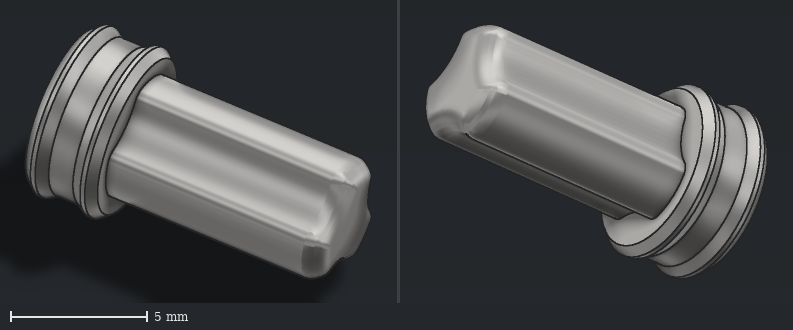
import cadquery as cq
import math

total_length = 12.0
rim_radius = 3.402
head_length = 3.0

end_face_radius = 3.1
neck_radius = 3.15
rim_start = 0.37
rim_end = 0.56
neck_start = 1.0

lobe_count = 3
shank_radius = 2.46
groove_bottom_radius = 1.78
groove_radius = 2.18
lobe_corner_radius = 0.5

taper_length = 0.62
taper_depth = 0.47
tip_round = 0.67

pick_margin = 0.06


def make_head():
    half_profile = [
        (0, end_face_radius),
        (rim_start, rim_radius),
        (rim_end, rim_radius),
        (neck_start, neck_radius),
    ]
    mirrored = [(head_length - x, r) for x, r in reversed(half_profile)]
    profile = [(0, 0)] + half_profile + mirrored + [(head_length, 0)]
    return cq.Workplane("XY").polyline(profile).close().revolve(360, (0, 0, 0), (1, 0, 0))


def round_lobe_corners(shank, groove_angles, groove_center):
    corner_cosine = (shank_radius**2 + groove_center**2 - groove_radius**2) / (
        2 * shank_radius * groove_center
    )
    corner_angle = math.degrees(math.acos(corner_cosine))
    corners = []
    for groove_angle in groove_angles:
        for side in (-1, 1):
            angle = math.radians(groove_angle + side * corner_angle)
            y = shank_radius * math.cos(angle)
            z = shank_radius * math.sin(angle)
            box = cq.selectors.BoxSelector(
                (head_length, y - pick_margin, z - pick_margin),
                (total_length, y + pick_margin, z + pick_margin),
            )
            corners += shank.edges(box).vals()
    return shank.newObject(corners).fillet(lobe_corner_radius)


def round_tip(shank):
    tapered = shank.faces(">X").edges().chamfer(taper_depth, taper_length)
    tip_edges = []
    for x in (total_length - taper_length, total_length):
        box = cq.selectors.BoxSelector(
            (x - pick_margin, -shank_radius, -shank_radius),
            (x + pick_margin, shank_radius, shank_radius),
        )
        tip_edges += tapered.edges(box).vals()
    return tapered.newObject(tip_edges).fillet(tip_round)


def make_shank():
    section_plane = cq.Workplane("YZ", origin=(head_length, 0, 0))
    shank_length = total_length - head_length
    shank = section_plane.circle(shank_radius).extrude(shank_length)

    groove_center = groove_bottom_radius + groove_radius
    groove = section_plane.center(groove_center, 0).circle(groove_radius).extrude(shank_length)
    groove_angles = [index * 360 / lobe_count for index in range(lobe_count)]
    for angle in groove_angles:
        shank = shank.cut(groove.rotate((0, 0, 0), (1, 0, 0), angle))

    shank = round_lobe_corners(shank, groove_angles, groove_center)
    return round_tip(shank)


result = make_head().union(make_shank())